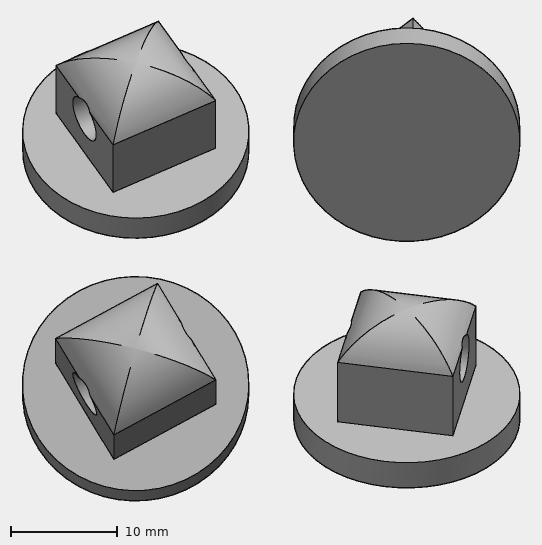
import cadquery as cq

base_diameter = 21.2
base_thickness = 3.0

post_width = 11.0
shoulder_height = 10.01
total_height = 13.0

hole_diameter = 4.5
hole_height = 8.0


def arched_bar(plane):
    """Bar with an arched top, extruded symmetrically by the post width."""
    half_width = post_width / 2
    return (
        cq.Workplane(plane)
        .moveTo(-half_width, 0)
        .lineTo(half_width, 0)
        .lineTo(half_width, shoulder_height)
        .threePointArc((0, total_height), (-half_width, shoulder_height))
        .close()
        .extrude(half_width, both=True)
    )


base = cq.Workplane("XY").circle(base_diameter / 2).extrude(base_thickness)

post = arched_bar("XZ").intersect(arched_bar("YZ"))

cross_hole = (
    cq.Workplane("XZ")
    .center(0, hole_height)
    .circle(hole_diameter / 2)
    .extrude(post_width, both=True)
)

result = base.union(post).cut(cross_hole)